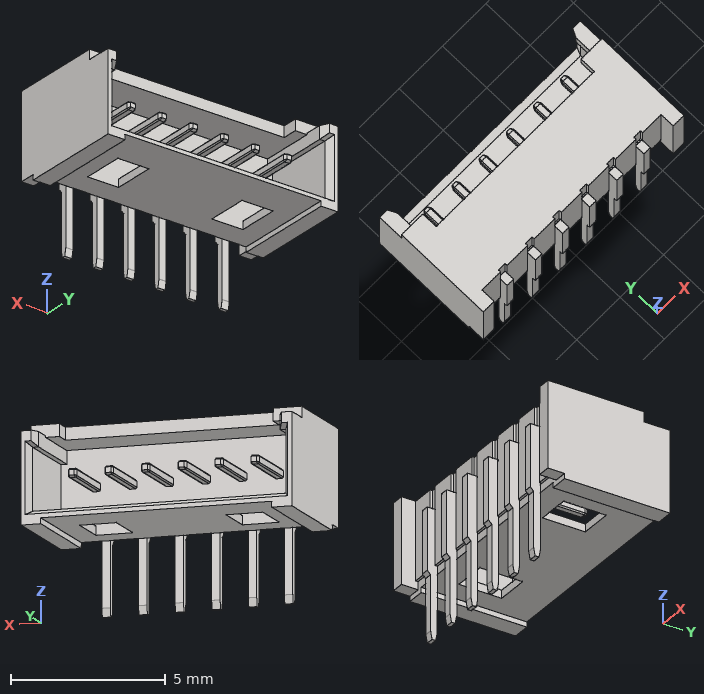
import cadquery as cq
import math

LENGTH = 9.25
DEPTH = 4.7
FOOT_Z = -3.5
FLANGE_Z = -3.3
FLANGE_WIDTH = 0.5
FOOT_WIDTH = 0.68
FOOT_FRONT = 0.64
PLATE_FRONT = 0.55
PLATE_Z = -3.0

STEP_LENGTH = 1.0
STEP_DROP = 0.38
CUTBACK_LENGTH = 1.6
CUTBACK_MARGIN = 0.98

WALL = 0.51
CEILING_Z = -0.435
FLOOR_Z = PLATE_Z
CAVITY_FRONT = 1.56
MOUTH_CHAMFER_LENGTH = 0.31
MOUTH_CHAMFER_WIDTH = 0.16

RECESS_DEPTH = 0.2
RECESS_TOP_Z = -0.89

PIN_COUNT = 6
PITCH = 1.25
PIN_WIDTH = 0.3
HEAD_FRONT = 0.19
HEAD_BACK = 0.58
HEAD_TOP_Z = -0.89
HEAD_BOTTOM_Z = -3.265
TAIL_FRONT = 0.32
TAIL_END_Z = -5.8
TIP_LENGTH = 0.3
TIP_TAPER = 0.06
FIRST_PIN_SHIFT = 0.06
CONTACT_END = 4.02
CONTACT_EDGE = 0.05
CONTACT_TIP_LENGTH = 0.12

SLOT_BACK = HEAD_BACK + FIRST_PIN_SHIFT
HEAD_STAND = 0.05
SLOT_FLOOR_Z = HEAD_TOP_Z - HEAD_STAND
WINDOW_BACK = 3.2

contact_z = (CEILING_Z + FLOOR_Z) / 2
pin_places = [(i - (PIN_COUNT - 1) / 2) * PITCH for i in range(PIN_COUNT)]


def box(x_range, y_range, z_range):
    """Axis-aligned block between pairs of limits."""
    limits = (x_range, y_range, z_range)
    sizes = [high - low for low, high in limits]
    return cq.Workplane("XY").box(*sizes, centered=False).translate(tuple(low for low, _ in limits))


def centred_box(width, y_range, z_range):
    """Block lying symmetrically about X = 0."""
    return box((-width / 2, width / 2), y_range, z_range)


def outer_block():
    """Housing outside: end flanges, front plate, feet and the stepped top wall."""
    body = centred_box(LENGTH, (0, DEPTH), (FOOT_Z, 0))
    inner_length = LENGTH - 2 * FLANGE_WIDTH
    body = body.cut(centred_box(inner_length, (0, PLATE_FRONT), (FOOT_Z, 0)))
    body = body.cut(centred_box(LENGTH, (0, FOOT_FRONT), (FOOT_Z, FLANGE_Z)))
    body = body.cut(centred_box(inner_length, (0, FOOT_FRONT), (FOOT_Z, PLATE_Z)))
    body = body.cut(centred_box(LENGTH - 2 * FOOT_WIDTH, (0, DEPTH), (FOOT_Z, FLANGE_Z)))
    body = body.cut(centred_box(LENGTH, (DEPTH - STEP_LENGTH, DEPTH), (-STEP_DROP, 0)))
    cutback_width = LENGTH - 2 * CUTBACK_MARGIN
    return body.cut(centred_box(cutback_width, (DEPTH - CUTBACK_LENGTH, DEPTH), (CEILING_Z, 0)))


def cavity_section(grow, y, top_z):
    """XZ outline of the cavity at y; grow moves its walls, floor and recess ceilings outward."""
    upper = LENGTH / 2 - WALL + grow
    lower = upper + RECESS_DEPTH
    floor_z = FLOOR_Z - grow
    recess_z = RECESS_TOP_Z + grow
    outline = [
        (-lower, floor_z),
        (lower, floor_z),
        (lower, recess_z),
        (upper, recess_z),
        (upper, top_z),
        (-upper, top_z),
        (-upper, recess_z),
        (-lower, recess_z),
    ]
    return cq.Workplane("XZ", origin=(0, y, 0)).polyline(outline).close()


def cavity():
    """Space behind the mouth, flared over its last stretch."""
    straight = cavity_section(0, DEPTH, CEILING_Z).extrude(DEPTH - CAVITY_FRONT)
    inner = cavity_section(0, DEPTH - MOUTH_CHAMFER_LENGTH, -STEP_DROP).wire().val()
    mouth = cavity_section(MOUTH_CHAMFER_WIDTH, DEPTH, -STEP_DROP).wire().val()
    flare = cq.Workplane(cq.Solid.makeLoft([inner, mouth], True))
    open_top = centred_box(LENGTH - 2 * WALL, (DEPTH - STEP_LENGTH, DEPTH), (CEILING_Z, -STEP_DROP))
    return straight.union(flare).union(open_top)


def pin(x, shift):
    """Right-angle pin: head and tapered tail in one side outline, plus the contact in the cavity."""
    shoulder_z = HEAD_BOTTOM_Z - (TAIL_FRONT - HEAD_FRONT)
    tip_z = TAIL_END_Z + TIP_LENGTH
    side_outline = [
        (HEAD_FRONT, HEAD_TOP_Z),
        (HEAD_BACK, HEAD_TOP_Z),
        (HEAD_BACK, tip_z),
        (HEAD_BACK - TIP_TAPER, TAIL_END_Z),
        (TAIL_FRONT + TIP_TAPER, TAIL_END_Z),
        (TAIL_FRONT, tip_z),
        (TAIL_FRONT, shoulder_z),
        (HEAD_FRONT, HEAD_BOTTOM_Z),
    ]
    tail = cq.Workplane("YZ").polyline(side_outline).close().extrude(PIN_WIDTH / 2, both=True)
    half = PIN_WIDTH / 2
    shank_end = CONTACT_END - CONTACT_TIP_LENGTH
    shank = centred_box(PIN_WIDTH, (HEAD_BACK, shank_end), (contact_z - half, contact_z + half))
    shank = shank.edges("|Y").chamfer(CONTACT_EDGE)
    tip_angle = math.degrees(math.atan2(TIP_TAPER, CONTACT_TIP_LENGTH))
    shank_face = shank.faces(">Y").workplane().add(shank.faces(">Y").wires()).toPending()
    tip = shank_face.extrude(CONTACT_TIP_LENGTH, combine=False, taper=tip_angle)
    contact = shank.union(tip)
    return tail.union(contact).translate((x, shift, 0))


housing = outer_block().cut(cavity())

for place in pin_places:
    sides = (place - PIN_WIDTH / 2, place + PIN_WIDTH / 2)
    housing = housing.cut(box(sides, (PLATE_FRONT, SLOT_BACK), (SLOT_FLOOR_Z, 0)))

for left, right in (pin_places[:2], pin_places[-2:]):
    housing = housing.cut(box((left, right), (CAVITY_FRONT, WINDOW_BACK), (FLANGE_Z, FLOOR_Z)))

result = housing
for index, place in enumerate(pin_places):
    result = result.union(pin(place, FIRST_PIN_SHIFT if index == 0 else 0))